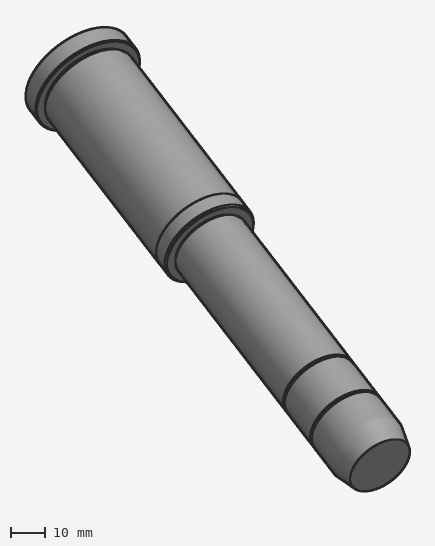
import cadquery as cq
import math

total_length = 171.0

head_diameter = 35.0
head_thickness = 6.0
head_chamfer = 0.3

lead_in_diameter = 30.0
lead_in_relief = 0.03
lead_in_length = 5.3
body_diameter = lead_in_diameter + 2 * lead_in_relief
body_end = 74.9
body_end_chamfer = 0.5

neck_diameter = 29.0
neck_width = 0.9

shank_diameter = 24.0
shank_relief_depth = 0.3
shank_relief_width = 0.5
tip_length = 7.2
tip_angle = 15.0

groove_positions = (136.6, 152.0)
groove_width = 0.7
groove_depth = 0.2

tip_diameter = shank_diameter - 2 * tip_length * math.tan(math.radians(tip_angle))


def cylinder(start, end, diameter):
    """Solid cylinder along X between two stations."""
    return cq.Workplane("YZ").workplane(offset=start).circle(diameter / 2).extrude(end - start)


def cone(start, end, start_diameter, end_diameter):
    """Truncated cone along X between two stations."""
    return (
        cq.Workplane("YZ")
        .workplane(offset=start)
        .circle(start_diameter / 2)
        .workplane(offset=end - start)
        .circle(end_diameter / 2)
        .loft(ruled=True)
    )


def ring(start, width, inner_diameter, outer_diameter):
    """Ring along X, used to cut a groove."""
    return cylinder(start, start + width, outer_diameter).cut(cylinder(start, start + width, inner_diameter))


def make_head():
    """Head disc with its rear rim broken by a small chamfer."""
    return cylinder(0, head_thickness, head_diameter).faces(">X").chamfer(head_chamfer)


def make_body():
    """Conical relief neck behind the head, main body and slightly smaller lead-in."""
    neck_end = head_thickness + neck_width
    lead_in_start = body_end - lead_in_length
    neck = cone(head_thickness, neck_end, neck_diameter, body_diameter)
    main = cylinder(neck_end, lead_in_start, body_diameter)
    lead_in = cylinder(lead_in_start, body_end, lead_in_diameter).faces(">X").chamfer(body_end_chamfer)
    return neck.union(main).union(lead_in)


def make_shank():
    """Grooved shank with a conical relief at its root and a conical tip."""
    tip_start = total_length - tip_length
    tip = cone(tip_start, total_length, shank_diameter, tip_diameter)
    relief_end = body_end + shank_relief_width
    relief_diameter = shank_diameter - 2 * shank_relief_depth
    relief = cone(body_end, relief_end, relief_diameter, shank_diameter)
    shank = relief.union(cylinder(relief_end, tip_start, shank_diameter)).union(tip)
    groove_diameter = shank_diameter - 2 * groove_depth
    for center in groove_positions:
        shank = shank.cut(ring(center - groove_width / 2, groove_width, groove_diameter, head_diameter))
    return shank


result = make_head().union(make_body()).union(make_shank())